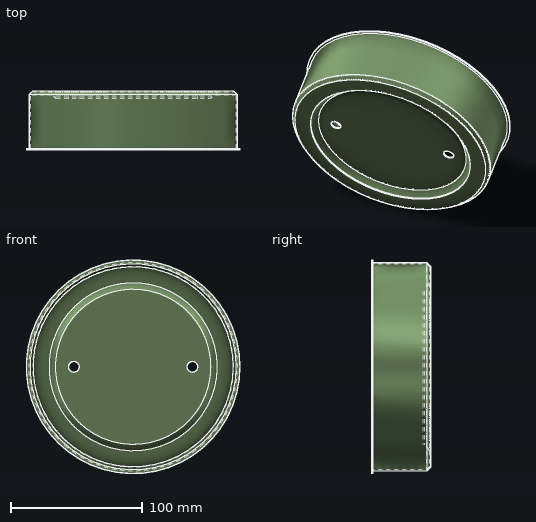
import cadquery as cq

flange_diameter = 163.0
body_diameter = 159.0
bore_diameter = 157.0
depth = 45.0
sheet = (body_diameter - bore_diameter) / 2

outer_chamfer = 3.0
inner_chamfer = 2.3

raised_foot_diameter = 128.1
raised_top_diameter = 118.3
raised_height = 4.9

hole_diameter = 8.0
hole_spacing = 90.3

flange_radius = flange_diameter / 2
body_radius = body_diameter / 2
bore_radius = bore_diameter / 2
foot_radius = raised_foot_diameter / 2
top_radius = raised_top_diameter / 2
floor_y = depth - sheet
raised_y = floor_y - raised_height


def make_shell():
    """Revolve the sheet profile, drawn as (radius, Y), about the Y axis."""
    profile = [
        (0, raised_y),
        (top_radius, raised_y),
        (foot_radius, floor_y),
        (bore_radius - inner_chamfer, floor_y),
        (bore_radius, floor_y - inner_chamfer),
        (bore_radius, 0),
        (flange_radius, 0),
        (flange_radius, sheet),
        (body_radius, sheet),
        (body_radius, depth - outer_chamfer),
        (body_radius - outer_chamfer, depth),
        (foot_radius, depth),
        (top_radius, raised_y + sheet),
        (0, raised_y + sheet),
    ]
    return cq.Workplane("XY").polyline(profile).close().revolve(360, (0, 0, 0), (0, 1, 0))


def make_holes():
    """Cylinders along Y for the two holes through the raised centre."""
    return (
        cq.Workplane("XZ")
        .pushPoints([(-hole_spacing / 2, 0), (hole_spacing / 2, 0)])
        .circle(hole_diameter / 2)
        .extrude(-depth)
    )


result = make_shell().cut(make_holes())